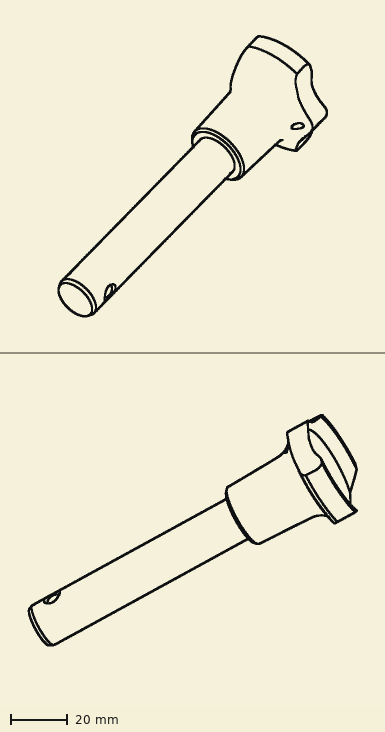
import cadquery as cq
import math


handle_length = 40.0
pin_length = 83.0

pin_radius = 8.0
pin_tip_radius = 7.4
pin_tip_taper_length = 1.5

ball_radius = 6.5 / 2
ball_to_tip = 9.8
ball_recess = 0.05
ball_exposed_angle = math.radians(75)

neck_end_radius = 11.45
neck_end_chamfer = 0.9
neck_top_radius = 12.2
neck_top_depth = 18.4
flare_radius = 9.3
flare_edge_radius = 20.8

rim_radius = 46.85 / 2
rim_front_radius = 23.3
rim_front_depth = 7.0
rim_back_depth = 2.8
back_edge_radius = 22.3
rim_front_bulge = 0.4
rim_back_bulge = 0.25

dish_rim_radius = 20.5
dish_floor_radius = 15.6
dish_depth = 4.1
dish_wall_bulge = 0.15

grip_side_x = -14.8
grip_corner_x = -10.4
grip_corner_z = 21.4
lobe_tip_x = 19.3
lobe_tip_radius = 6.5
lobe_flank_angle = math.radians(30)
lobe_root_x = 13.9
lobe_root_radius = 9.2
grip_flank_angle = math.radians(17)

outline_margin = 1.0

lanyard_hole_radius = 3.0 / 2
lanyard_hole_x = 14.85


def bulged_midpoint(start, end, bulge):
    """Point beside the middle of start-end, offset by bulge to the left of the direction of travel."""
    run = end[0] - start[0]
    rise = end[1] - start[1]
    length = math.hypot(run, rise)
    middle_x = (start[0] + end[0]) / 2
    middle_y = (start[1] + end[1]) / 2
    return (middle_x - bulge * rise / length, middle_y + bulge * run / length)


def revolve_about_pin(profile):
    return profile.close().revolve(360, (0, 0, 0), (0, 1, 0))


def make_handle_body():
    """Round handle: tapered neck, concave flare and rounded rim."""
    flare_center_radius = neck_top_radius + flare_radius
    flare_edge_angle = math.acos((flare_center_radius - flare_edge_radius) / flare_radius)
    flare_edge_y = -neck_top_depth + flare_radius * math.sin(flare_edge_angle)
    flare_middle = (
        flare_center_radius - flare_radius * math.cos(flare_edge_angle / 2),
        -neck_top_depth + flare_radius * math.sin(flare_edge_angle / 2),
    )
    flare_edge = (flare_edge_radius, flare_edge_y)
    rim_front = (rim_front_radius, -rim_front_depth)
    rim_back = (rim_radius, -rim_back_depth)
    back_edge = (back_edge_radius, 0)

    profile = (
        cq.Workplane("XY")
        .moveTo(0, 0)
        .lineTo(0, -handle_length)
        .lineTo(neck_end_radius - neck_end_chamfer, -handle_length)
        .lineTo(neck_end_radius, -handle_length + neck_end_chamfer)
        .lineTo(neck_top_radius, -neck_top_depth)
        .threePointArc(flare_middle, flare_edge)
        .threePointArc(bulged_midpoint(flare_edge, rim_front, -rim_front_bulge), rim_front)
        .lineTo(*rim_back)
        .threePointArc(bulged_midpoint(rim_back, back_edge, -rim_back_bulge), back_edge)
    )
    return revolve_about_pin(profile)


def make_dish():
    """Flat-floored round recess in the handle back."""
    floor_edge = (dish_floor_radius, -dish_depth)
    rim = (dish_rim_radius, 0)
    profile = (
        cq.Workplane("XY")
        .moveTo(0, 0)
        .lineTo(0, -dish_depth)
        .lineTo(*floor_edge)
        .threePointArc(bulged_midpoint(floor_edge, rim, dish_wall_bulge), rim)
    )
    return revolve_about_pin(profile)


def make_grip_outline():
    """Prism that trims the round handle to a grip with one pointed lobe toward +X."""
    outline_half_height = rim_radius + outline_margin
    lobe_center_x = lobe_tip_x - lobe_tip_radius
    lobe_side_x = lobe_center_x + lobe_tip_radius * math.cos(lobe_flank_angle)
    lobe_side_z = lobe_tip_radius * math.sin(lobe_flank_angle)
    lobe_root_z = lobe_side_z + (lobe_side_x - lobe_root_x) / math.tan(lobe_flank_angle)

    root_center_x = lobe_root_x + lobe_root_radius * math.cos(lobe_flank_angle)
    root_center_z = lobe_root_z + lobe_root_radius * math.sin(lobe_flank_angle)

    def root_arc_point(angle):
        return (
            root_center_x - lobe_root_radius * math.cos(angle),
            root_center_z - lobe_root_radius * math.sin(angle),
        )

    root_middle_x, root_middle_z = root_arc_point((lobe_flank_angle + grip_flank_angle) / 2)
    root_end_x, root_end_z = root_arc_point(grip_flank_angle)
    flank_end_x = root_end_x - (outline_half_height - root_end_z) * math.tan(grip_flank_angle)

    return (
        cq.Workplane("XZ")
        .moveTo(grip_corner_x, -grip_corner_z)
        .threePointArc((grip_side_x, 0), (grip_corner_x, grip_corner_z))
        .lineTo(grip_corner_x, outline_half_height)
        .lineTo(flank_end_x, outline_half_height)
        .lineTo(root_end_x, root_end_z)
        .threePointArc((root_middle_x, root_middle_z), (lobe_root_x, lobe_root_z))
        .lineTo(lobe_side_x, lobe_side_z)
        .threePointArc((lobe_tip_x, 0), (lobe_side_x, -lobe_side_z))
        .lineTo(lobe_root_x, -lobe_root_z)
        .threePointArc((root_middle_x, -root_middle_z), (root_end_x, -root_end_z))
        .lineTo(flank_end_x, -outline_half_height)
        .lineTo(grip_corner_x, -outline_half_height)
        .close()
        .extrude(handle_length)
    )


def make_lanyard_hole():
    return (
        cq.Workplane("XZ")
        .center(lanyard_hole_x, 0)
        .circle(lanyard_hole_radius)
        .extrude(handle_length)
    )


def make_handle():
    handle = make_handle_body().cut(make_dish())
    handle = handle.intersect(make_grip_outline())
    return handle.cut(make_lanyard_hole())


def make_ball_seat(side):
    """Clearance around one locking ball: a round pocket that leaves the ball dome standing inside it."""
    dome_tip_x = pin_radius - ball_recess
    ball_center_x = dome_tip_x - ball_radius
    dome_foot = (
        ball_center_x + ball_radius * math.cos(ball_exposed_angle),
        ball_radius * math.sin(ball_exposed_angle),
    )
    dome_middle = (
        ball_center_x + ball_radius * math.cos(ball_exposed_angle / 2),
        ball_radius * math.sin(ball_exposed_angle / 2),
    )
    outer_x = pin_radius + ball_radius
    seat = (
        cq.Workplane("XY")
        .moveTo(dome_tip_x, 0)
        .threePointArc(dome_middle, dome_foot)
        .lineTo(dome_foot[0], ball_radius)
        .lineTo(outer_x, ball_radius)
        .lineTo(outer_x, 0)
        .close()
        .revolve(360, (0, 0, 0), (1, 0, 0))
    )
    if side < 0:
        seat = seat.mirror("YZ")
    return seat.translate((0, -handle_length - pin_length + ball_to_tip, 0))


def make_pin():
    tip_y = -handle_length - pin_length
    profile = (
        cq.Workplane("XY")
        .moveTo(0, -handle_length)
        .lineTo(0, tip_y)
        .lineTo(pin_tip_radius, tip_y)
        .lineTo(pin_radius, tip_y + pin_tip_taper_length)
        .lineTo(pin_radius, -handle_length)
    )
    pin = revolve_about_pin(profile)
    for side in (-1, 1):
        pin = pin.cut(make_ball_seat(side))
    return pin


result = make_handle().union(make_pin())